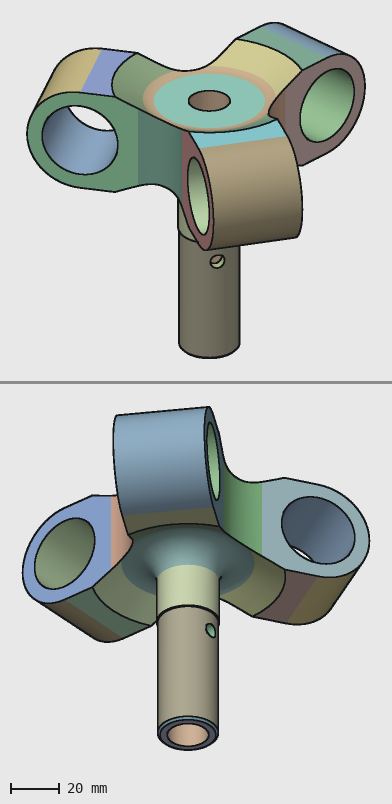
import cadquery as cq
import math

arm_count = 3
arm_spacing = 360 / arm_count
arm_width = 38.0
arm_height = 45.0
eye_radius = arm_height / 2
eye_bore_radius = 16.0
eye_offset = 50.0
web_fillet_radius = 25.0

dish_radius = 40.0
blend_radius = 10.0
blend_center_depth = -2.5

stem_length = 77.5
stem_diameter = 25.0
stem_radius = stem_diameter / 2
collar_radius = 12.9
collar_length = 22.3
stem_chamfer = 1.0
bore_radius = 8.5
cross_hole_radius = 3.0
cross_hole_height = 46.0

stem_bottom = -eye_radius - stem_length
dish_floor_radius = collar_radius + blend_radius
dish_depth = blend_center_depth + blend_radius


def make_arm():
    """Arm along +X with a rounded end."""
    block = cq.Workplane("XY").box(
        eye_offset, arm_width, arm_height, centered=(False, True, True)
    )
    eye = (
        cq.Workplane("XZ", origin=(eye_offset, arm_width / 2, 0))
        .circle(eye_radius)
        .extrude(arm_width)
    )
    return block.union(eye)


def make_eye_bore():
    return (
        cq.Workplane("XZ", origin=(eye_offset, arm_width / 2, 0))
        .circle(eye_bore_radius)
        .extrude(arm_width)
    )


def around_hub(shape):
    """Join copies of a shape placed at every arm direction."""
    joined = shape
    for index in range(1, arm_count):
        joined = joined.union(shape.rotate((0, 0, 0), (0, 0, 1), index * arm_spacing))
    return joined


def make_spider():
    """Three arms joined by rounded inside corners."""
    arms = around_hub(make_arm())
    corner_radius = arm_width / 2 / math.sin(math.radians(arm_spacing / 2))
    corner_limit = corner_radius + 1.5
    corners = cq.selectors.BoxSelector(
        (-corner_limit, -corner_limit, -eye_radius),
        (corner_limit, corner_limit, eye_radius),
    )
    return arms.edges("|Z").edges(corners).fillet(web_fillet_radius)


def revolve_about_hub(profile):
    return profile.close().revolve(360, (0, 0, 0), (0, 1, 0))


def blend_point(angle):
    """Radius and height on the upper blend arc, angle measured from its floor toward the rim."""
    return (
        dish_floor_radius + blend_radius * math.sin(angle),
        eye_radius - blend_center_depth - blend_radius * math.cos(angle),
    )


def find_cone_angle():
    """Slope of the cone line that passes through the rim tangent to the blend arc."""
    rim_run = dish_radius - dish_floor_radius
    rim_distance = math.hypot(rim_run, blend_center_depth)
    return math.asin(blend_radius / rim_distance) + math.atan2(blend_center_depth, rim_run)


def make_upper_dish():
    """Cutter with a flat floor, a tangent arc, then a cone out to the arm face."""
    cone_angle = find_cone_angle()
    profile = (
        cq.Workplane("XZ")
        .moveTo(0, eye_radius)
        .lineTo(0, eye_radius - dish_depth)
        .lineTo(dish_floor_radius, eye_radius - dish_depth)
        .threePointArc(blend_point(cone_angle / 2), blend_point(cone_angle))
        .lineTo(dish_radius, eye_radius)
    )
    return revolve_about_hub(profile)


def make_lower_dish():
    """Ring cutter: the arc runs on to the collar, so the stem flares into the dish."""
    flare_top = eye_radius - blend_center_depth
    cone_angle = find_cone_angle()
    profile = (
        cq.Workplane("XZ")
        .moveTo(collar_radius, flare_top)
        .threePointArc(blend_point(0), blend_point(cone_angle))
        .lineTo(dish_radius, eye_radius)
        .lineTo(dish_radius, flare_top)
    )
    return revolve_about_hub(profile).mirror("XY")


def make_stem():
    """Stem and collar, with a wide shoulder that the lower dish later cuts to a flare."""
    flare_bottom = blend_center_depth - eye_radius
    collar_bottom = -eye_radius - collar_length
    collar_step = collar_radius - stem_radius
    profile = (
        cq.Workplane("XZ")
        .moveTo(0, 0)
        .lineTo(dish_floor_radius, 0)
        .lineTo(dish_floor_radius, flare_bottom)
        .lineTo(collar_radius, flare_bottom)
        .lineTo(collar_radius, collar_bottom)
        .lineTo(stem_radius, collar_bottom - collar_step)
        .lineTo(stem_radius, stem_bottom + stem_chamfer)
        .lineTo(stem_radius - stem_chamfer, stem_bottom)
        .lineTo(0, stem_bottom)
    )
    return revolve_about_hub(profile)


def make_axial_bore():
    return (
        cq.Workplane("XY", origin=(0, 0, stem_bottom))
        .circle(bore_radius)
        .extrude(stem_length + arm_height)
    )


def make_cross_hole():
    return (
        cq.Workplane("YZ", origin=(0, 0, stem_bottom + cross_hole_height))
        .circle(cross_hole_radius)
        .extrude(collar_radius, both=True)
    )


result = (
    make_spider()
    .cut(around_hub(make_eye_bore()))
    .union(make_stem())
    .cut(make_upper_dish())
    .cut(make_lower_dish())
    .cut(make_axial_bore())
    .cut(make_cross_hole())
)